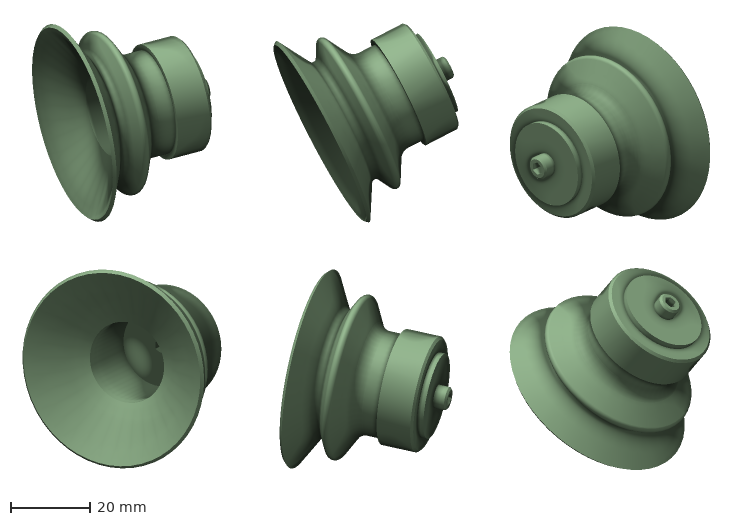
import cadquery as cq
import math

lip_radius = 51.45 / 2
opening_radius = 25.0
bore_radius = 21.0 / 2
groove_radius = 16.7
bead_radius = 21.4
neck_radius = 27.0 / 2
collar_radius = 30.0 / 2
disc_radius = 22.0 / 2
stem_radius = 6.0 / 2

lip_edge_y = 0.75
groove_y = 6.9
bead_y = 11.0
neck_start_y = 18.3
collar_start_y = 22.5
collar_end_y = 32.0
disc_end_y = 33.6
stem_end_y = 37.0
bore_floor_y = 27.0

groove_round = 1.35
bead_round = 1.15
neck_round = 3.6
collar_chamfer = 0.6
stem_chamfer = 0.5
hex_across_flats = 3.0

wall_angle = math.radians(30)
tangent_radial = math.sin(wall_angle)
tangent_axial = math.cos(wall_angle)


def bellows_and_body():
    """Solid outer shape, revolved from a half profile given as (radius, Y)."""
    groove_center = groove_radius + groove_round
    groove_wall_radius = groove_center - groove_round * tangent_radial
    groove_half_width = groove_round * tangent_axial

    bead_center = bead_radius - bead_round
    bead_wall_radius = bead_center + bead_round * tangent_radial
    bead_half_width = bead_round * tangent_axial

    neck_center = neck_radius + neck_round
    neck_wall_radius = neck_center - neck_round * tangent_radial
    neck_wall_y = neck_start_y - neck_round * tangent_axial
    neck_mid_angle = (math.pi / 2 - wall_angle) / 2
    neck_mid = (
        neck_center - neck_round * math.cos(neck_mid_angle),
        neck_start_y - neck_round * math.sin(neck_mid_angle),
    )

    profile = (
        cq.Workplane("XY")
        .lineTo(opening_radius, 0)
        .lineTo(lip_radius, lip_edge_y)
        .lineTo(groove_wall_radius, groove_y - groove_half_width)
        .threePointArc((groove_radius, groove_y), (groove_wall_radius, groove_y + groove_half_width))
        .lineTo(bead_wall_radius, bead_y - bead_half_width)
        .threePointArc((bead_radius, bead_y), (bead_wall_radius, bead_y + bead_half_width))
        .lineTo(neck_wall_radius, neck_wall_y)
        .threePointArc(neck_mid, (neck_radius, neck_start_y))
        .lineTo(neck_radius, collar_start_y)
        .lineTo(collar_radius, collar_start_y)
        .lineTo(collar_radius, collar_end_y - collar_chamfer)
        .lineTo(collar_radius - collar_chamfer, collar_end_y)
        .lineTo(disc_radius, collar_end_y)
        .lineTo(disc_radius, disc_end_y)
        .lineTo(stem_radius, disc_end_y)
        .lineTo(stem_radius, stem_end_y - stem_chamfer)
        .lineTo(stem_radius - stem_chamfer, stem_end_y)
        .lineTo(0, stem_end_y)
        .close()
    )
    return profile.revolve(360, (0, 0, 0), (0, 1, 0))


def cup_cavity():
    """Conical opening leading into a flat-bottomed bore."""
    cone_depth = (opening_radius - bore_radius) * math.tan(wall_angle)
    profile = (
        cq.Workplane("XY")
        .lineTo(opening_radius, 0)
        .lineTo(bore_radius, cone_depth)
        .lineTo(bore_radius, bore_floor_y)
        .lineTo(0, bore_floor_y)
        .close()
    )
    return profile.revolve(360, (0, 0, 0), (0, 1, 0))


def hex_hole():
    """Hexagonal passage along the whole axis, with two corners on the Z axis."""
    corner_diameter = hex_across_flats / math.cos(math.pi / 6)
    return (
        cq.Workplane("XZ")
        .transformed(rotate=(0, 0, 90))
        .polygon(6, corner_diameter)
        .extrude(-stem_end_y)
    )


result = bellows_and_body().cut(cup_cavity()).cut(hex_hole())